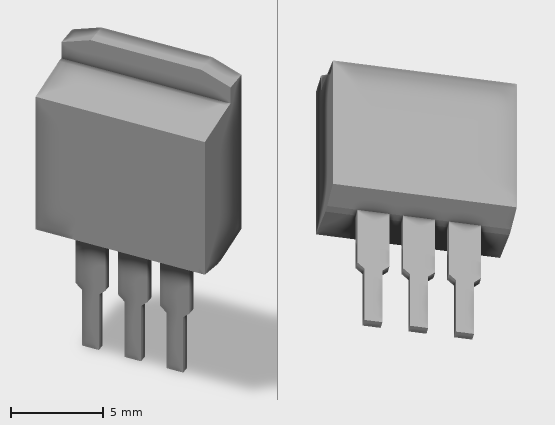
import cadquery as cq

total_height = 18.89
width = 10.16
depth = 4.6
front_y = -depth / 2
back_y = depth / 2

lead_count = 3
lead_pitch = 2.53
lead_thickness = 0.5
lead_back_inset = 2.55
lead_wide = 1.78
lead_narrow = 1.0
taper_bottom_z = 3.63
taper_top_z = 3.99
lead_back_y = back_y - lead_back_inset
lead_front_y = lead_back_y - lead_thickness

housing_bottom_z = 7.69
housing_top_z = 17.19
bottom_front_z = 7.97
bottom_back_z = 8.16
top_front_z = 16.66
top_ledge_depth = 1.62

tab_thickness = 1.36
tab_corner_width = 1.75
tab_corner_height = 0.65


def make_housing():
    """Block with a sloped top front and a two-sided draft underneath."""
    profile = [
        (back_y, bottom_back_z),
        (lead_back_y, housing_bottom_z),
        (lead_front_y, housing_bottom_z),
        (front_y, bottom_front_z),
        (front_y, top_front_z),
        (back_y - top_ledge_depth, housing_top_z),
        (back_y, housing_top_z),
    ]
    return cq.Workplane("YZ").polyline(profile).close().extrude(width / 2, both=True)


def make_tab():
    """Plate flush with the housing back, with its two upper corners cut off."""
    half_width = width / 2
    half_top = half_width - tab_corner_width
    corner_z = total_height - tab_corner_height
    outline = [
        (-half_width, housing_top_z),
        (half_width, housing_top_z),
        (half_width, corner_z),
        (half_top, total_height),
        (-half_top, total_height),
        (-half_width, corner_z),
    ]
    back_plane = cq.Workplane("XZ", origin=(0, back_y, 0))
    return back_plane.polyline(outline).close().extrude(tab_thickness)


def make_lead(center_x):
    """Flat lead: wide shank tapering to a narrow tip, ending under the housing."""
    half_wide = lead_wide / 2
    half_narrow = lead_narrow / 2
    outline = [
        (-half_narrow, 0),
        (half_narrow, 0),
        (half_narrow, taper_bottom_z),
        (half_wide, taper_top_z),
        (half_wide, housing_bottom_z),
        (-half_wide, housing_bottom_z),
        (-half_wide, taper_top_z),
        (-half_narrow, taper_bottom_z),
    ]
    lead_plane = cq.Workplane("XZ", origin=(center_x, lead_back_y, 0))
    return lead_plane.polyline(outline).close().extrude(lead_thickness)


housing = make_housing()
tab = make_tab()
leads = []
for index in range(lead_count):
    lead_x = (index - (lead_count - 1) / 2) * lead_pitch
    leads.append(make_lead(lead_x).val())

result = cq.Compound.makeCompound([housing.val(), tab.val(), *leads])